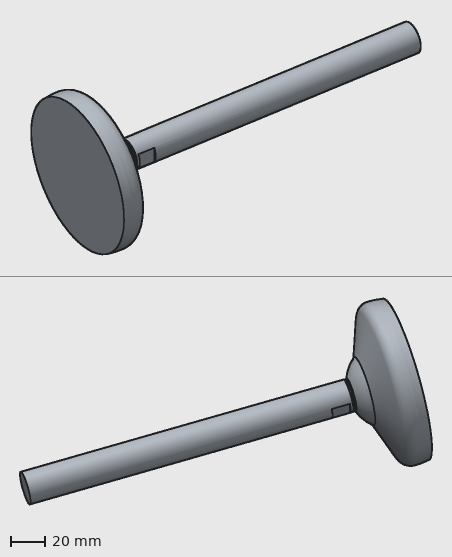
import cadquery as cq
import math

total_height = 235.0

Y_AXIS = ((0, 0, 0), (0, 1, 0))

foot_radius = 50.0
base_radius = 49.3
skirt_height = 5.6
rim_top = 9.1
shoulder_round = 7.3
cone_angle = math.radians(21.5)
dome_foot_radius = 20.9
dome_foot_height = 25.7
seat_radius = 10.0
seat_height = 34.1
seat_land = 0.5
blend_radius_at_cone = 23.5

stem_radius = 10.0
neck_radius = 8.5
neck_top = 35.4
flat_width = 17.0
flat_bottom = 37.2
flat_top = 48.4


def make_foot():
    shoulder_center = foot_radius - shoulder_round
    shoulder_mid_angle = (math.pi / 2 - cone_angle) / 2
    shoulder_mid = (
        shoulder_center + shoulder_round * math.cos(shoulder_mid_angle),
        rim_top + shoulder_round * math.sin(shoulder_mid_angle),
    )
    cone_bottom = (
        shoulder_center + shoulder_round * math.sin(cone_angle),
        rim_top + shoulder_round * math.cos(cone_angle),
    )
    cone_rise = (cone_bottom[0] - blend_radius_at_cone) * math.tan(cone_angle)
    cone_top = (blend_radius_at_cone, cone_bottom[1] + cone_rise)

    dome_top = seat_height - seat_land
    dome_center = (
        (seat_radius**2 + dome_top**2 - dome_foot_radius**2 - dome_foot_height**2)
        / (2 * (dome_top - dome_foot_height))
    )
    dome_radius = math.hypot(seat_radius, dome_top - dome_center)
    dome_mid_radius = (seat_radius + dome_foot_radius) / 2
    dome_mid = (
        dome_mid_radius,
        dome_center + math.sqrt(dome_radius**2 - dome_mid_radius**2),
    )

    return (
        cq.Workplane("ZY")
        .lineTo(base_radius, 0)
        .lineTo(foot_radius, skirt_height)
        .lineTo(foot_radius, rim_top)
        .threePointArc(shoulder_mid, cone_bottom)
        .lineTo(*cone_top)
        .tangentArcPoint((dome_foot_radius, dome_foot_height), relative=False)
        .threePointArc(dome_mid, (seat_radius, dome_top))
        .lineTo(seat_radius, seat_height)
        .lineTo(0, seat_height)
        .close()
        .revolve(360, *Y_AXIS)
    )


def make_stem():
    stem = (
        cq.Workplane("ZY")
        .moveTo(0, seat_height)
        .lineTo(neck_radius, seat_height)
        .lineTo(neck_radius, neck_top)
        .lineTo(stem_radius, neck_top)
        .lineTo(stem_radius, total_height)
        .lineTo(0, total_height)
        .close()
        .revolve(360, *Y_AXIS)
    )
    cutter_depth = stem_radius
    for side in (-1, 1):
        cutter = cq.Workplane("XY").box(cutter_depth, flat_top - flat_bottom, 2 * stem_radius)
        cutter_x = side * (flat_width + cutter_depth) / 2
        stem = stem.cut(cutter.translate((cutter_x, (flat_bottom + flat_top) / 2, 0)))
    return stem


foot = make_foot()
stem = make_stem()

result = cq.Compound.makeCompound([foot.val(), stem.val()])